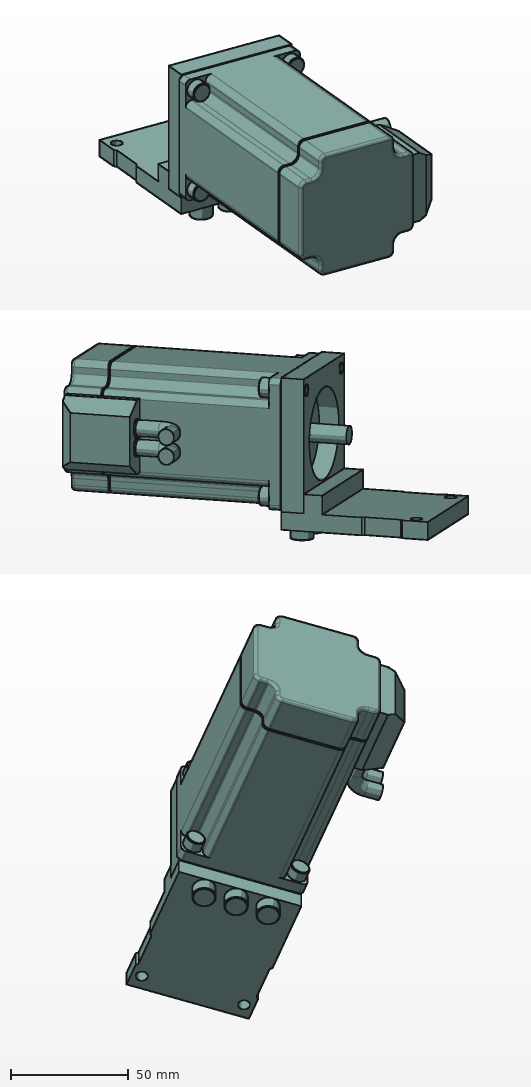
import cadquery as cq
import math


length = 162.5
base_width = 55.2
base_thickness = 7.8
base_top_z = -29.1
base_bottom_z = base_top_z - base_thickness
lip_start_x = 47.1
lip_top_z = -20.8
end_hole_diameter = 5.0
end_hole_x = 6.5
end_hole_y = 23.0
waist_start_x = 11.4
waist_end_x = 29.4
waist_depth = 1.0

plate_front_x = 55.4
plate_thickness = 10.0
plate_back_x = plate_front_x + plate_thickness
plate_top_z = 29.1
plate_bore_diameter = 40.0

motor_side = 57.2
motor_half = motor_side / 2
flange_thickness = 5.2
flange_corner_radius = 2.5
body_start_x = plate_back_x + flange_thickness
edge_radius = 3.0
corner_cut = 9.9
corner_hollow_radius = 4.0
seam_x = 145.3
seam_chamfer = 0.5
rear_edge_radius = 1.5
pilot_diameter = 38.0
pilot_length = 1.6
shaft_diameter = 8.0
shaft_tip_x = 44.2
shaft_recess_diameter = 9.0
shaft_recess_depth = 0.8

connector_start_x = 128.4
connector_end_x = 160.5
connector_height = 13.2
connector_step_height = 3.7
connector_base_width = 32.2
connector_top_width = 21.5
connector_chamfer_x = 5.5
connector_chamfer_y = 6.2
cable_diameter = 7.0
cable_spacing = 8.5
cable_y = 33.0
cable_tip_y = 47.0
cable_bend_radius = 7.0
cable_rise_x = 110.5
collar_diameter = 8.0
collar_length = 0.8

motor_screw_diameter = 5.0
motor_screw_head_diameter = 8.5
motor_screw_head_height = 5.0
motor_screw_length = flange_thickness + plate_thickness
motor_screw_offset = 23.5
base_screw_diameter = 6.0
base_screw_head_diameter = 10.0
base_screw_head_height = 6.0
base_screw_length = 14.0
base_screw_pitch = 14.5
screw_chamfer = 0.4


def rod_x(diameter, start_x, end_x, y=0.0, z=0.0):
    """A cylinder along X."""
    return cq.Workplane("YZ", origin=(start_x, y, z)).circle(diameter / 2).extrude(end_x - start_x)


def place_motor_screw(part, y, z):
    """Turn a screw so that it points to -X, with its head seated on the motor flange."""
    return part.rotate((0, 0, 0), (0, 1, 0), -90).translate((body_start_x, y, z))


def place_base_screw(part, y):
    """Move a screw so that it points up, with its head seated under the base."""
    return part.translate((plate_front_x + plate_thickness / 2, y, base_bottom_z))


def make_screw(diameter, shank_length, head_diameter, head_height):
    """A screw along +Z with the underside of its head at Z = 0."""
    head = cq.Workplane("XY").circle(head_diameter / 2).extrude(-head_height)
    head = head.faces("<Z").chamfer(screw_chamfer)
    shank = cq.Workplane("XY").circle(diameter / 2).extrude(shank_length)
    return head.union(shank.faces(">Z").chamfer(screw_chamfer))


def make_screw_hole(diameter, depth):
    """The hole a screw shank fills, along +Z from Z = 0, with the same tapered end."""
    return cq.Workplane("XY").circle(diameter / 2).extrude(depth).faces(">Z").chamfer(screw_chamfer)


motor_screw_places = [
    (y, z)
    for y in (-motor_screw_offset, motor_screw_offset)
    for z in (-motor_screw_offset, motor_screw_offset)
]
base_screw_places = [-base_screw_pitch, 0.0, base_screw_pitch]


def make_base():
    profile = [
        (0, base_bottom_z),
        (plate_back_x, base_bottom_z),
        (plate_back_x, base_top_z),
        (plate_front_x, base_top_z),
        (plate_front_x, lip_top_z),
        (lip_start_x, lip_top_z),
        (lip_start_x, base_top_z),
        (0, base_top_z),
    ]
    base = cq.Workplane("XZ").polyline(profile).close().extrude(base_width / 2, both=True)

    for side in (-1, 1):
        edge_y = side * base_width / 2
        floor_y = edge_y - side * waist_depth
        waist = (
            cq.Workplane("XY", origin=(0, 0, base_bottom_z))
            .moveTo(waist_start_x, edge_y)
            .lineTo(waist_start_x + waist_depth, floor_y)
            .lineTo(waist_end_x - waist_depth, floor_y)
            .lineTo(waist_end_x, edge_y)
            .close()
            .extrude(base_thickness)
        )
        base = base.cut(waist)

    end_holes = (
        cq.Workplane("XY", origin=(end_hole_x, 0, base_bottom_z))
        .pushPoints([(0, -end_hole_y), (0, end_hole_y)])
        .circle(end_hole_diameter / 2)
        .extrude(base_thickness)
    )
    base = base.cut(end_holes)

    hole = make_screw_hole(base_screw_diameter, base_screw_length)
    for y in base_screw_places:
        base = base.cut(place_base_screw(hole, y))
    return base


def make_plate():
    plate = cq.Workplane("XY").box(
        plate_thickness, base_width, plate_top_z - base_top_z, centered=(False, True, False)
    )
    plate = plate.translate((plate_front_x, 0, base_top_z))
    plate = plate.cut(rod_x(plate_bore_diameter, plate_front_x, plate_back_x))

    for y, z in motor_screw_places:
        plate = plate.cut(rod_x(motor_screw_diameter, plate_front_x, plate_back_x, y, z))
    hole = make_screw_hole(base_screw_diameter, base_screw_length)
    for y in base_screw_places:
        plate = plate.cut(place_base_screw(hole, y))
    return plate


def make_corner_cutter(start_x, end_x):
    """Removes one corner of the square motor body, leaving a hollow with rounded edges."""
    wall = motor_half - corner_cut
    hollow_start = wall + corner_hollow_radius
    round_start = motor_half - edge_radius
    edge_start = wall - edge_radius
    hollow_bulge = corner_hollow_radius * (1 - math.sqrt(0.5))
    edge_bulge = edge_radius * (1 - math.sqrt(0.5))
    return (
        cq.Workplane("YZ", origin=(start_x, 0, 0))
        .moveTo(edge_start, motor_half)
        .threePointArc((wall - edge_bulge, motor_half - edge_bulge), (wall, round_start))
        .lineTo(wall, hollow_start)
        .threePointArc((wall + hollow_bulge, wall + hollow_bulge), (hollow_start, wall))
        .lineTo(round_start, wall)
        .threePointArc((motor_half - edge_bulge, wall - edge_bulge), (motor_half, edge_start))
        .lineTo(motor_half, motor_half)
        .close()
        .extrude(end_x - start_x)
    )


def make_body_bar(start_x, end_x):
    """A length of the motor body with its four hollowed corners."""
    bar = cq.Workplane("YZ", origin=(start_x, 0, 0)).rect(motor_side, motor_side).extrude(end_x - start_x)
    cutter = make_corner_cutter(start_x, end_x)
    for quarter in range(4):
        bar = bar.cut(cutter.rotate((0, 0, 0), (1, 0, 0), 90 * quarter))
    return bar


def make_connector():
    base_half = connector_base_width / 2
    top_half = connector_top_width / 2
    step_y = motor_half + connector_step_height
    top_y = motor_half + connector_height
    connector = (
        cq.Workplane("YZ", origin=(connector_start_x, 0, 0))
        .polyline([
            (motor_half, -base_half),
            (step_y, -base_half),
            (top_y, -top_half),
            (top_y, top_half),
            (step_y, base_half),
            (motor_half, base_half),
        ])
        .close()
        .extrude(connector_end_x - connector_start_x)
    )
    rear_slope = (
        cq.Workplane("XY")
        .moveTo(connector_end_x, top_y)
        .lineTo(connector_end_x - connector_chamfer_x, top_y)
        .lineTo(connector_end_x, top_y - connector_chamfer_y)
        .close()
        .extrude(connector_base_width / 2, both=True)
    )
    return connector.cut(rear_slope)


def make_cable(z):
    """A cable that leaves the connector toward -X and bends to +Y, with its collar."""
    bend_end_x = cable_rise_x + cable_bend_radius
    bend_end_y = cable_y + cable_bend_radius
    bend_offset = cable_bend_radius * (1 - math.sqrt(0.5))
    path = (
        cq.Workplane("XY", origin=(0, 0, z))
        .moveTo(connector_start_x, cable_y)
        .lineTo(bend_end_x, cable_y)
        .threePointArc(
            (cable_rise_x + bend_offset, cable_y + bend_offset), (cable_rise_x, bend_end_y)
        )
        .lineTo(cable_rise_x, cable_tip_y)
    )
    section = cq.Workplane("YZ", origin=(connector_start_x, cable_y, z)).circle(cable_diameter / 2)
    collar = rod_x(collar_diameter, connector_start_x - collar_length, connector_start_x, cable_y, z)
    return section.sweep(path).union(collar)


def make_motor():
    flange = (
        cq.Workplane("YZ", origin=(plate_back_x, 0, 0))
        .rect(motor_side, motor_side)
        .extrude(flange_thickness)
        .edges("|X")
        .fillet(flange_corner_radius)
    )
    body = make_body_bar(body_start_x, seam_x).faces(">X").edges().chamfer(seam_chamfer)
    cover = make_body_bar(seam_x, length).faces("<X").edges().chamfer(seam_chamfer)
    cover = cover.faces(">X").edges().fillet(rear_edge_radius)

    pilot_front_x = plate_back_x - pilot_length
    recess_floor_x = pilot_front_x + shaft_recess_depth
    pilot = rod_x(pilot_diameter, pilot_front_x, plate_back_x)
    pilot = pilot.cut(rod_x(shaft_recess_diameter, pilot_front_x, recess_floor_x))
    shaft = rod_x(shaft_diameter, shaft_tip_x, plate_back_x)

    motor = flange.union(body).union(cover).union(pilot).union(shaft).union(make_connector())
    for z in (-cable_spacing / 2, cable_spacing / 2):
        motor = motor.union(make_cable(z))
    for y, z in motor_screw_places:
        motor = motor.cut(rod_x(motor_screw_diameter, plate_back_x, body_start_x, y, z))
    return motor


def make_motor_screws():
    screw = make_screw(
        motor_screw_diameter, motor_screw_length, motor_screw_head_diameter, motor_screw_head_height
    )
    return [place_motor_screw(screw, y, z).val() for y, z in motor_screw_places]


def make_base_screws():
    screw = make_screw(
        base_screw_diameter, base_screw_length, base_screw_head_diameter, base_screw_head_height
    )
    return [place_base_screw(screw, y).val() for y in base_screw_places]


base = make_base()
plate = make_plate()
motor = make_motor()
motor_screws = make_motor_screws()
base_screws = make_base_screws()

result = cq.Compound.makeCompound(
    [base.val(), plate.val(), motor.val(), *motor_screws, *base_screws]
)